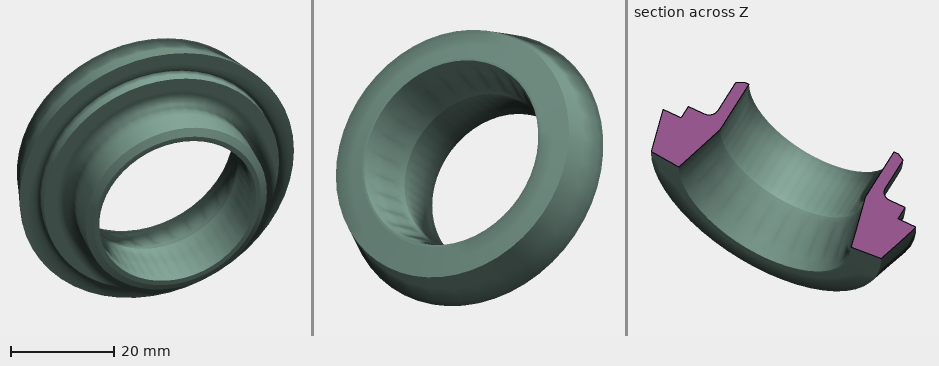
import cadquery as cq

length = 23.0

rim_radius = 28.0
face_radius = 25.4
shoulder_radius = 48.0 / 2
neck_radius = 37.0 / 2

face_rise = 0.5
rim_x = 10.1
shoulder_x = 13.0
neck_fillet = 1.95
end_chamfer_length = 0.85
end_chamfer_depth = 1.5

bore_radius = 32.0 / 2
taper_radius = 19.0
land_width = 0.45
taper_end_x = 11.3

profile = (
    cq.Workplane("XY")
    .moveTo(0, taper_radius + land_width)
    .lineTo(face_rise, face_radius)
    .lineTo(rim_x, rim_radius)
    .lineTo(rim_x, shoulder_radius)
    .lineTo(shoulder_x, shoulder_radius)
    .lineTo(shoulder_x, neck_radius + neck_fillet)
    .radiusArc((shoulder_x + neck_fillet, neck_radius), -neck_fillet)
    .lineTo(length - end_chamfer_length, neck_radius)
    .lineTo(length, neck_radius - end_chamfer_depth)
    .lineTo(length, bore_radius)
    .lineTo(taper_end_x, bore_radius)
    .lineTo(0, taper_radius)
    .close()
)

result = profile.revolve(360, (0, 0, 0), (1, 0, 0))